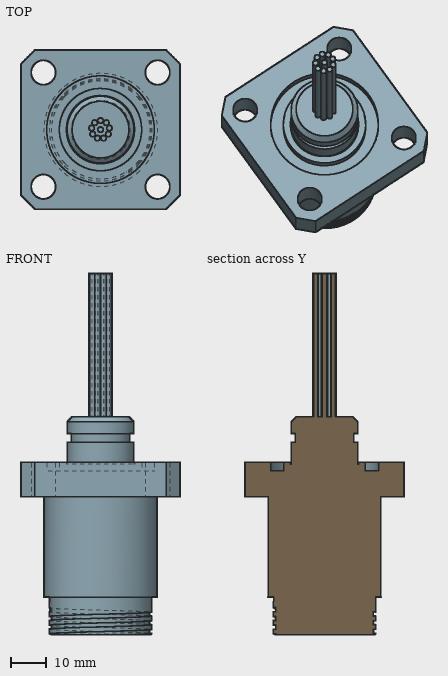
import cadquery as cq

total_height = 100.7
body_bottom = 10.5
flange_bottom = 38.5
flange_top = 48.1
plug_groove_bottom = 53.7
plug_groove_width = 2.4
plug_top = 60.8

flange_side = 44.4
corner_chamfer = 3.9
mount_hole_spacing = 31.8
mount_hole_diameter = 6.7

recess_diameter = 30.0
recess_depth = 2.4
ring_diameter = 23.0

body_diameter = 31.6
plug_diameter = 18.6
plug_groove_diameter = 16.4
plug_chamfer = 1.4
plug_gap_diameter = 19.0
plug_gap_depth = 0.5

thread_diameter = 28.6
thread_pitch = 2.4
thread_depth = 0.6
thread_groove_width = 1.1
thread_end_height = 7.0
thread_lead_chamfer = 0.3
thread_end_angle = 189.0
thread_turns = 4

wire_diameter = 1.5
wire_circle_radius = 2.5
outer_wire_count = 9
first_wire_angle = 90.0


def cylinder(diameter, bottom, top):
    """Upright cylinder on the Z axis between two heights."""
    return cq.Workplane("XY").workplane(offset=bottom).circle(diameter / 2).extrude(top - bottom)


def make_flange():
    flange = (
        cq.Workplane("XY")
        .workplane(offset=flange_bottom)
        .rect(flange_side, flange_side)
        .extrude(flange_top - flange_bottom)
        .edges("|Z")
        .chamfer(corner_chamfer)
        .faces(">Z")
        .workplane()
        .rect(mount_hole_spacing, mount_hole_spacing, forConstruction=True)
        .vertices()
        .hole(mount_hole_diameter)
    )
    recess_floor = flange_top - recess_depth
    recess = cylinder(recess_diameter, recess_floor, flange_top)
    ring = cylinder(ring_diameter, recess_floor, flange_top)
    plug_gap = cylinder(plug_gap_diameter, flange_top - plug_gap_depth, flange_top)
    return flange.cut(recess).union(ring).cut(plug_gap)


def make_plug():
    plug = cylinder(plug_diameter, flange_bottom, plug_top).faces(">Z").chamfer(plug_chamfer)
    groove_top = plug_groove_bottom + plug_groove_width
    groove = cylinder(plug_diameter, plug_groove_bottom, groove_top).cut(
        cylinder(plug_groove_diameter, plug_groove_bottom, groove_top)
    )
    return plug.cut(groove)


def make_thread_groove():
    """Square-section helix that rises counterclockwise to the closed end of the thread."""
    radius = thread_diameter / 2
    helix_height = thread_turns * thread_pitch
    helix = cq.Wire.makeHelix(thread_pitch, helix_height, radius)
    groove = (
        cq.Workplane("XZ")
        .center(radius, 0)
        .rect(2 * thread_depth, thread_groove_width)
        .sweep(cq.Workplane(obj=helix), isFrenet=True)
    )
    return groove.rotate((0, 0, 0), (0, 0, 1), thread_end_angle).translate(
        (0, 0, thread_end_height - helix_height)
    )


def make_threaded_end():
    blank = cylinder(thread_diameter, 0, body_bottom).faces("<Z").chamfer(thread_lead_chamfer)
    return blank.cut(make_thread_groove())


def make_wires():
    wire_length = total_height - plug_top
    wires = (
        cq.Workplane("XY")
        .workplane(offset=plug_top)
        .polarArray(wire_circle_radius, first_wire_angle, 360, outer_wire_count)
        .circle(wire_diameter / 2)
        .extrude(wire_length)
    )
    return wires.union(cylinder(wire_diameter, plug_top, total_height))


body = cylinder(body_diameter, body_bottom, flange_bottom)

result = (
    make_flange()
    .union(body)
    .union(make_plug())
    .union(make_threaded_end())
    .union(make_wires())
)